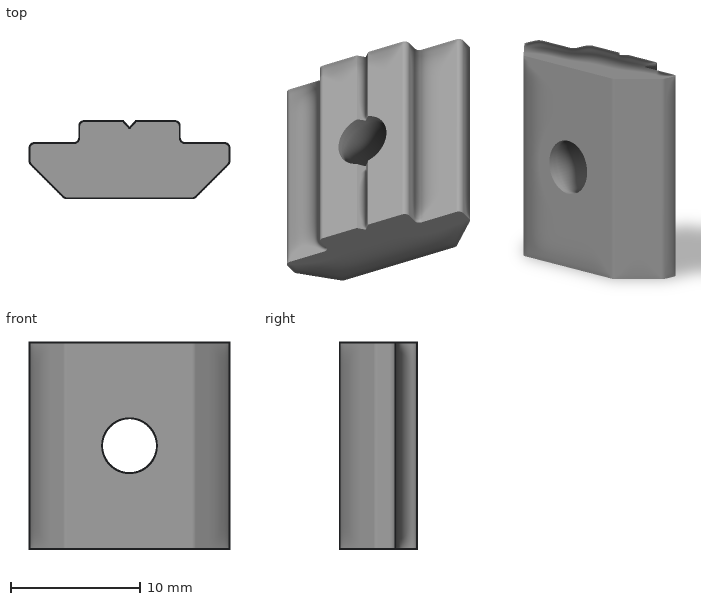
import cadquery as cq

width = 15.5
thickness = 6.0
length = 16.0

neck_width = 7.8
neck_height = 1.7
bevel = 2.75
edge_radius = 0.4

groove_width = 1.0
groove_depth = 0.55

hole_diameter = 4.23

back_y = thickness / 2
front_y = -thickness / 2
shoulder_y = back_y - neck_height


def make_body():
    """T-shaped section with bevelled front corners, extruded along Z and rounded."""
    right_half = [
        (width / 2 - bevel, front_y),
        (width / 2, front_y + bevel),
        (width / 2, shoulder_y),
        (neck_width / 2, shoulder_y),
        (neck_width / 2, back_y),
    ]
    left_half = [(-x, y) for x, y in reversed(right_half)]
    section = cq.Workplane("XY").polyline(right_half + left_half).close()
    body = section.extrude(length / 2, both=True)
    return body.edges("|Z").fillet(edge_radius)


def make_groove():
    """V-shaped groove running the full length of the neck's back face."""
    section = cq.Workplane("XY").polyline([
        (-groove_width / 2, back_y),
        (0, back_y - groove_depth),
        (groove_width / 2, back_y),
    ]).close()
    return section.extrude(length / 2, both=True)


def make_hole():
    """Central hole through the thickness, along Y."""
    return cq.Workplane("XZ").circle(hole_diameter / 2).extrude(thickness / 2, both=True)


result = make_body().cut(make_groove()).cut(make_hole())